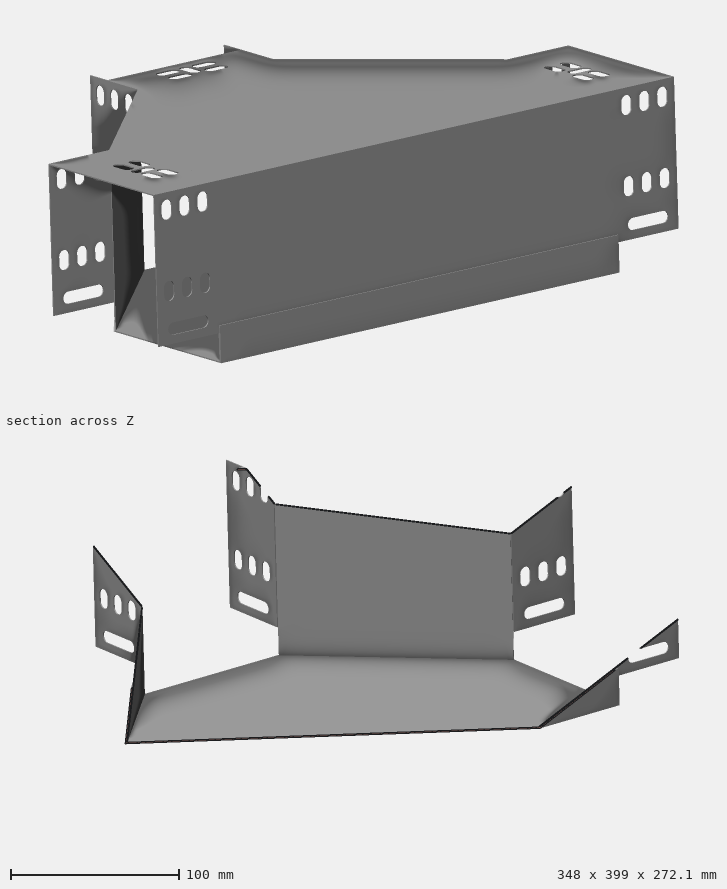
import cadquery as cq
import math

SHEET = 0.8
RUN_LENGTH = 392.8
CHANNEL_WIDTH = 101.8
TAB_LENGTH = 46.0
TAB_HEIGHT = 93.5
TOTAL_HEIGHT = 111.8
LIP_HEIGHT = 23.0
BRANCH_SETBACK = 16.0

HOLE_FIRST = 9.0
HOLE_PITCH = 13.5
HOLE_COUNT = 3
HOLE_LENGTH = 12.5
SLOT_WIDTH = 7.5
HOLE_ROW_DEPTHS = (10.8, 60.5)
LONG_SLOT_LENGTH = 30.5
LONG_SLOT_DEPTH = 84.2
WEB_SLOT_LENGTH = 16.0
WEB_SLOT_POSITIONS = (27.5, 39.5)
WEB_SLOT_OFFSET = 13.5
WEB_MIDDLE_SLOT = 31.5

TURN_X = -29.1
TURN_Y = 19.2
TURN_Z = 61.1

HALF_RUN = RUN_LENGTH / 2
HALF_WIDTH = CHANNEL_WIDTH / 2
HALF_BODY = HALF_RUN - TAB_LENGTH
SPLAY = HALF_BODY - HALF_WIDTH
SPLAY_LENGTH = SPLAY * math.sqrt(2)
BODY_DEPTH = CHANNEL_WIDTH + SPLAY
BRANCH_END = BODY_DEPTH + TAB_LENGTH
WEB_END = BRANCH_END - BRANCH_SETBACK
LONG_SLOT_CENTRE = HOLE_FIRST + HOLE_PITCH
COVER_BOTTOM = -TOTAL_HEIGHT
COVER_TOP = COVER_BOTTOM + SHEET
LIP_TOP = COVER_BOTTOM + LIP_HEIGHT
SIDES = (-1, 1)
CUT_MARGIN = 4.0


def block(x_range, y_range, z_range):
    """Box between two limits on each axis, given in any order."""
    (x0, x1), (y0, y1), (z0, z1) = sorted(x_range), sorted(y_range), sorted(z_range)
    return cq.Workplane("XY").box(x1 - x0, y1 - y0, z1 - z0, centered=False).translate((x0, y0, z0))


def plate(points, bottom):
    """Flat sheet with the given outline."""
    return cq.Workplane("XY").workplane(offset=bottom).polyline(points).close().extrude(SHEET)


def splay_sheet(side, profile, thickness):
    """Sheet on the outer plane of a 45-degree wall; positive thickness grows outwards.

    The profile holds (distance from the run's corner, height) points.
    """
    along = (-side, 1, 0)
    outward = (side, 1, 0)
    x_dir = tuple(side * part for part in along)
    plane = cq.Plane(origin=(side * HALF_BODY, CHANNEL_WIDTH, 0), xDir=x_dir, normal=outward)
    points = [(side * distance, height) for distance, height in profile]
    return cq.Workplane(plane).polyline(points).close().extrude(thickness)


def make_web():
    """Tee-shaped web with 45-degree splays between run and branch."""
    right_half = [
        (HALF_RUN, 0),
        (HALF_RUN, CHANNEL_WIDTH),
        (HALF_BODY, CHANNEL_WIDTH),
        (HALF_WIDTH, BODY_DEPTH),
        (HALF_WIDTH, WEB_END),
    ]
    left_half = [(-x, y) for x, y in reversed(right_half)]
    return plate(right_half + left_half, -SHEET)


def add_walls(tray):
    """Back wall, tab walls and splay walls; between the tabs they reach down to the cover."""
    tray = tray.union(block((-HALF_RUN, HALF_RUN), (0, SHEET), (-TAB_HEIGHT, 0)))
    tray = tray.union(block((-HALF_BODY, HALF_BODY), (0, SHEET), (COVER_TOP, 0)))
    splay_profile = [(0, 0), (SPLAY_LENGTH, 0), (SPLAY_LENGTH, COVER_TOP), (0, COVER_TOP)]
    for side in SIDES:
        run_tab = block(
            (side * HALF_BODY, side * HALF_RUN), (CHANNEL_WIDTH - SHEET, CHANNEL_WIDTH), (-TAB_HEIGHT, 0)
        )
        branch_tab = block(
            (side * (HALF_WIDTH - SHEET), side * HALF_WIDTH), (BODY_DEPTH, BRANCH_END), (-TAB_HEIGHT, 0)
        )
        splay_wall = splay_sheet(side, splay_profile, -SHEET)
        tray = tray.union(run_tab).union(branch_tab).union(splay_wall)
    return tray


def slots(workplane, centres, length, angle, depth):
    return workplane.pushPoints(centres).slot2D(length, SLOT_WIDTH, angle).extrude(depth)


def cut_tab_holes(tray, workplane, mouth, inward, depth):
    """Two rows of upright holes and one long slot through both walls of a mouth."""
    places = [mouth + inward * (HOLE_FIRST + HOLE_PITCH * i) for i in range(HOLE_COUNT)]
    holes = [(place, -row) for place in places for row in HOLE_ROW_DEPTHS]
    long_slot = [(mouth + inward * LONG_SLOT_CENTRE, -LONG_SLOT_DEPTH)]
    tray = tray.cut(slots(workplane, holes, HOLE_LENGTH, 90, depth))
    return tray.cut(slots(workplane, long_slot, LONG_SLOT_LENGTH, 0, depth))


def cut_web_slots(tray, mouth_centre, angle):
    """Four crosswise slots around one lengthwise slot, behind a mouth."""
    workplane = cq.Workplane("XY", origin=(0, 0, -CUT_MARGIN))
    depth = 2 * CUT_MARGIN
    crosswise = [(place, side * WEB_SLOT_OFFSET) for place in WEB_SLOT_POSITIONS for side in SIDES]
    cutters = (
        slots(workplane, crosswise, WEB_SLOT_LENGTH, 90, depth),
        slots(workplane, [(WEB_MIDDLE_SLOT, 0)], WEB_SLOT_LENGTH, 0, depth),
    )
    for cutter in cutters:
        tray = tray.cut(cutter.rotate((0, 0, 0), (0, 0, 1), angle).translate(mouth_centre))
    return tray


def make_tray():
    tray = add_walls(make_web())
    through = CHANNEL_WIDTH + 2 * CUT_MARGIN
    across_run = cq.Workplane("XZ", origin=(0, -CUT_MARGIN, 0))
    for side in SIDES:
        tray = cut_tab_holes(tray, across_run, side * HALF_RUN, -side, -through)
    across_branch = cq.Workplane("YZ", origin=(-HALF_WIDTH - CUT_MARGIN, 0, 0))
    tray = cut_tab_holes(tray, across_branch, BRANCH_END, -1, through)
    tray = cut_web_slots(tray, (-HALF_RUN, HALF_WIDTH, 0), 0)
    tray = cut_web_slots(tray, (HALF_RUN, HALF_WIDTH, 0), 180)
    return cut_web_slots(tray, (0, BRANCH_END, 0), -90)


def make_cover():
    """Six-sided cover under the walls, with lips outside the back wall and the splay walls."""
    right_half = [(HALF_BODY, 0), (HALF_BODY, CHANNEL_WIDTH), (HALF_WIDTH, BODY_DEPTH)]
    left_half = [(-x, y) for x, y in reversed(right_half)]
    cover = plate(right_half + left_half, COVER_BOTTOM)
    cover = cover.union(block((-HALF_BODY, HALF_BODY), (-SHEET, 0), (COVER_BOTTOM, LIP_TOP)))
    lip_profile = [
        (0, COVER_BOTTOM),
        (SPLAY_LENGTH, COVER_BOTTOM),
        (SPLAY_LENGTH - LIP_HEIGHT, LIP_TOP),
        (LIP_HEIGHT, LIP_TOP),
    ]
    for side in SIDES:
        cover = cover.union(splay_sheet(side, lip_profile, SHEET))
    return cover


def placed(body):
    """Turn a body from the fitting's own frame into its final attitude."""
    turns = (((1, 0, 0), TURN_X), ((0, 1, 0), TURN_Y), ((0, 0, 1), TURN_Z))
    for axis, angle in turns:
        body = body.rotate((0, 0, 0), axis, angle)
    return body


tray = placed(make_tray())
cover = placed(make_cover())
result = cq.Compound.makeCompound([tray.val(), cover.val()])